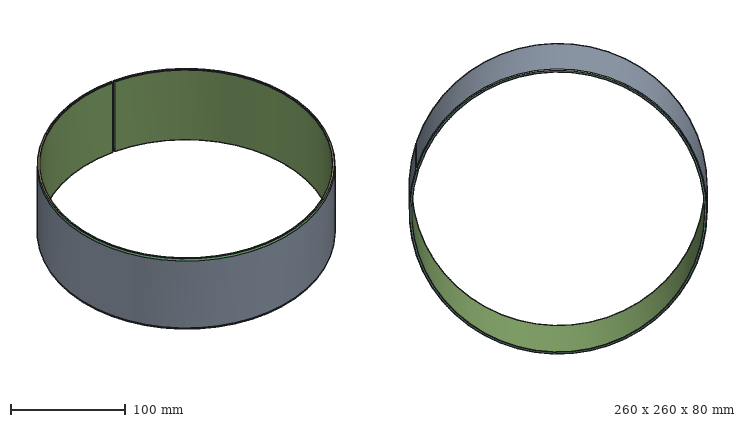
import cadquery as cq
import math

outer_diameter = 260.0
band_height = 80.0
wall_thickness = 2.5
split_width = 2.0
outer_bevel_depth = 0.7
outer_bevel_height = 2.0
inner_bevel_depth = 0.3
inner_bevel_height = 0.5

outer_radius = outer_diameter / 2
inner_radius = outer_radius - wall_thickness
rim_outer_radius = outer_radius - outer_bevel_depth
rim_inner_radius = inner_radius + inner_bevel_depth
sweep_angle = 360 - math.degrees(split_width / outer_radius)


def wall_section():
    """Wall cross-section with bevelled rims, on the -X side of the Z axis."""
    points = [
        (-inner_radius, inner_bevel_height),
        (-rim_inner_radius, 0),
        (-rim_outer_radius, 0),
        (-outer_radius, outer_bevel_height),
        (-outer_radius, band_height - outer_bevel_height),
        (-rim_outer_radius, band_height),
        (-rim_inner_radius, band_height),
        (-inner_radius, band_height - inner_bevel_height),
    ]
    return cq.Workplane("XZ").polyline(points).close()


def make_split_band():
    """Sweep the wall around Z, from -X through -Y, stopping short to leave the split open."""
    axis_start = (0, 0)
    axis_end = (0, 1)
    return wall_section().revolve(sweep_angle, axis_start, axis_end)


result = make_split_band()